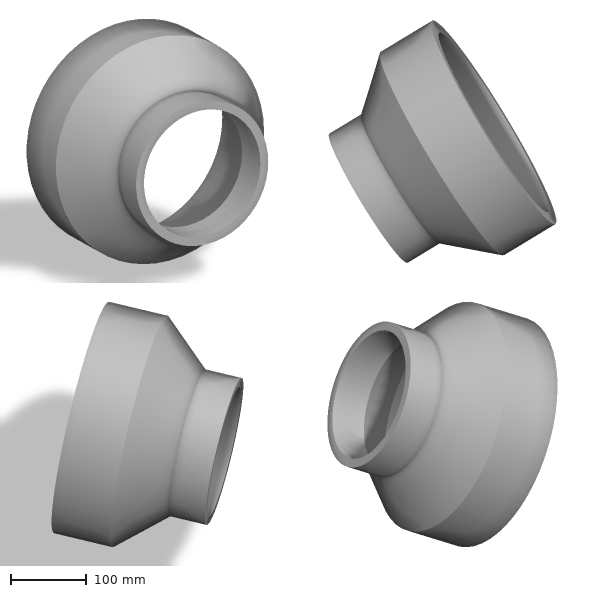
import cadquery as cq

total_length = 195.0
large_length = 80.0
small_length = 50.0
large_outer_radius = 315 / 2
large_bore_radius = 277.5 / 2
small_outer_radius = 200.0 / 2
small_bore_radius = 176.0 / 2

cone_start = large_length
cone_end = total_length - small_length


def stepped_solid(large_radius, small_radius):
    """Large cylinder, cone and small cylinder in line along X."""
    return (
        cq.Workplane("XY")
        .moveTo(0, 0)
        .lineTo(0, large_radius)
        .lineTo(cone_start, large_radius)
        .lineTo(cone_end, small_radius)
        .lineTo(total_length, small_radius)
        .lineTo(total_length, 0)
        .close()
        .revolve(360, (0, 0, 0), (1, 0, 0))
    )


body = stepped_solid(large_outer_radius, small_outer_radius)
bore = stepped_solid(large_bore_radius, small_bore_radius)
result = body.cut(bore)